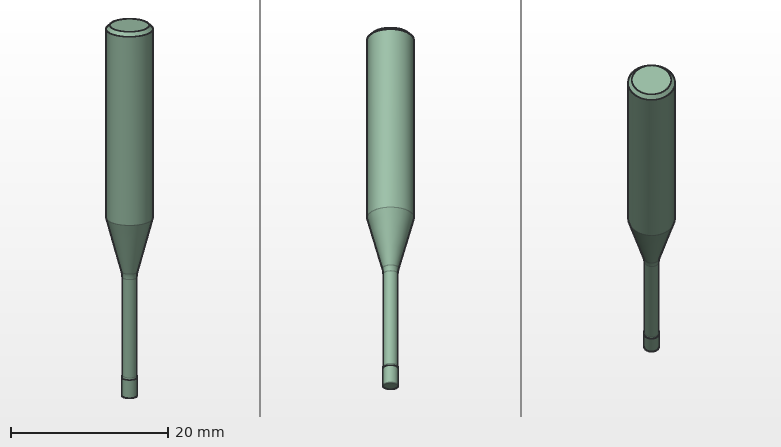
import cadquery as cq
import math

total_length = 50.0
shank_diameter = 6.0
shank_chamfer = 0.5

head_diameter = 2.0
head_length = 2.5
head_corner_radius = 0.1

neck_diameter = 1.9
neck_start = 2.8
neck_end = 16.05

taper_half_angle = math.radians(15.0)
blend_radius = 3.0

head_radius = head_diameter / 2
neck_radius = neck_diameter / 2
shank_radius = shank_diameter / 2


def blend_point(angle):
    """Point (radius, height) on the blend arc where it has turned by angle from the neck."""
    radius = neck_radius + blend_radius * (1 - math.cos(angle))
    height = neck_end + blend_radius * math.sin(angle)
    return radius, height


def make_cutting_head():
    """Cylinder with a rounded lower rim at the cutting end of the tool."""
    cylinder = cq.Workplane("XY").circle(head_radius).extrude(head_length)
    return cylinder.faces("<Z").edges().fillet(head_corner_radius)


def make_holder():
    """Revolved neck, taper and shank standing on the cutting head."""
    taper_start_radius, taper_start = blend_point(taper_half_angle)
    taper_length = (shank_radius - taper_start_radius) / math.tan(taper_half_angle)
    shank_start = taper_start + taper_length

    return (
        cq.Workplane("XZ")
        .moveTo(0, head_length)
        .lineTo(head_radius, head_length)
        .lineTo(neck_radius, neck_start)
        .lineTo(neck_radius, neck_end)
        .threePointArc(blend_point(taper_half_angle / 2), (taper_start_radius, taper_start))
        .lineTo(shank_radius, shank_start)
        .lineTo(shank_radius, total_length - shank_chamfer)
        .lineTo(shank_radius - shank_chamfer, total_length)
        .lineTo(0, total_length)
        .close()
        .revolve(360, (0, 0, 0), (0, 1, 0))
    )


cutting_head = make_cutting_head()
holder = make_holder()

result = cq.Compound.makeCompound([cutting_head.val(), holder.val()])